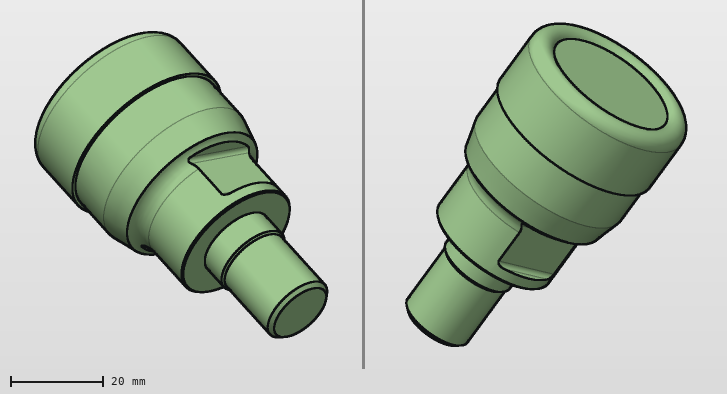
import cadquery as cq
import math


cap_radius = 19.91
cap_length = 15.5
rim_round = 3.0
face_radius = 14.52

body_radius = 19.1
taper_start = 25.7
taper_end = 31.95
taper_end_radius = 17.45

neck_radius = 14.52
neck_end = 47.9
neck_chamfer = 0.3
neck_blend = 4.0

shoulder_radius = 8.48
shoulder_end = 53.95
shank_radius = 7.985
shank_end = 71.0
shank_chamfer = 1.0

across_flats = 24.0
flat_start = 32.95
flat_end = 45.0
flat_corner_round = 1.0
flat_angle = 60.0
flat_count = 2
cutter_reach = 10.65
cutter_width = 42.6


def revolve_about_x(profile):
    """Turn a closed (x, radius) profile about the X axis."""
    return profile.revolve(360, (0, 0, 0), (1, 0, 0))


def make_cap():
    crest_radius = cap_radius - rim_round
    crest_to_face = crest_radius - face_radius
    face_depth = rim_round - math.sqrt(rim_round**2 - crest_to_face**2)
    return revolve_about_x(
        cq.Workplane("XY")
        .moveTo(face_depth, 0)
        .lineTo(face_depth, face_radius)
        .threePointArc((0, crest_radius), (rim_round, cap_radius))
        .lineTo(cap_length, cap_radius)
        .lineTo(cap_length, 0)
        .close()
    )


def make_turned_holder():
    blend_centre_radius = neck_radius + neck_blend
    blend_length = math.sqrt(neck_blend**2 - (blend_centre_radius - taper_end_radius) ** 2)
    blend_end = taper_end + blend_length
    half_blend = math.asin(blend_length / neck_blend) / 2
    blend_mid = (
        blend_end - neck_blend * math.sin(half_blend),
        blend_centre_radius - neck_blend * math.cos(half_blend),
    )
    shoulder_step = shoulder_radius - shank_radius
    return revolve_about_x(
        cq.Workplane("XY")
        .moveTo(cap_length, 0)
        .lineTo(cap_length, body_radius)
        .lineTo(taper_start, body_radius)
        .lineTo(taper_end, taper_end_radius)
        .threePointArc(blend_mid, (blend_end, neck_radius))
        .lineTo(neck_end - neck_chamfer, neck_radius)
        .lineTo(neck_end, neck_radius - neck_chamfer)
        .lineTo(neck_end, shoulder_radius)
        .lineTo(shoulder_end, shoulder_radius)
        .lineTo(shoulder_end + shoulder_step, shank_radius)
        .lineTo(shank_end - shank_chamfer, shank_radius)
        .lineTo(shank_end, shank_radius - shank_chamfer)
        .lineTo(shank_end, 0)
        .close()
    )


def make_flat_cutter(angle):
    """Block that mills one flat, with rounded floor corners at both ends."""
    return (
        cq.Workplane("XY")
        .box(flat_end - flat_start, cutter_reach, cutter_width, centered=(False, False, True))
        .edges("<Y and |Z")
        .fillet(flat_corner_round)
        .translate((flat_start, across_flats / 2, 0))
        .rotate((0, 0, 0), (1, 0, 0), angle)
    )


def make_holder():
    holder = make_turned_holder()
    for index in range(flat_count):
        holder = holder.cut(make_flat_cutter(flat_angle + index * 360 / flat_count))
    return holder


cap = make_cap()
holder = make_holder()

result = cq.Compound.makeCompound([cap.val(), holder.val()])